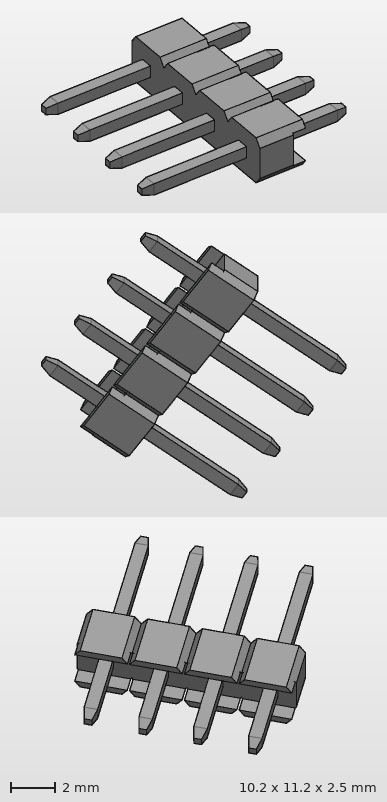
import cadquery as cq


pin_count = 4
housing_width = 10.16
housing_height = 2.5
housing_depth = 2.54
pitch = housing_width / pin_count
chamfer_width = 0.3
chamfer_height = 0.41

channel_depth = 0.7
ledge_thickness = 0.35

pin_length = 11.2
pin_size = 0.63
pin_front_length = 5.65
pin_offset_x = -0.1
tip_length = 0.57
tip_size = 0.36

housing_front_y = -pin_length / 2 + pin_front_length
housing_rear_y = housing_front_y + housing_depth


def segment_centre(index):
    """X position of the middle of one housing segment."""
    return (index - (pin_count - 1) / 2) * pitch


def make_housing():
    """Extrude the chamfered segments as one outline, with a V notch between neighbours."""
    half_flat = pitch / 2 - chamfer_width
    top_z = housing_height / 2
    notch_z = top_z - chamfer_height

    upper_edge = [(-housing_width / 2, notch_z)]
    for index in range(pin_count):
        centre = segment_centre(index)
        upper_edge.append((centre - half_flat, top_z))
        upper_edge.append((centre + half_flat, top_z))
        upper_edge.append((centre + pitch / 2, notch_z))
    lower_edge = [(x, -z) for x, z in reversed(upper_edge)]

    return (
        cq.Workplane("XZ", origin=(0, housing_rear_y, 0))
        .polyline(upper_edge + lower_edge)
        .close()
        .extrude(housing_depth)
    )


def make_rear_channel():
    """Block that clears the rear of the housing between the two ledges."""
    channel_height = housing_height - 2 * ledge_thickness
    return cq.Workplane("XY").box(housing_width, channel_depth, channel_height).translate(
        (0, housing_rear_y - channel_depth / 2, 0)
    )


def make_tip(end_y, direction):
    """Tapered tip that ends at end_y, narrowing towards the given Y direction."""
    return (
        cq.Workplane("XZ", origin=(0, end_y, 0))
        .rect(tip_size, tip_size)
        .workplane(offset=direction * tip_length)
        .rect(pin_size, pin_size)
        .loft(ruled=True)
    )


def make_pin():
    """Square pin with a tapered tip at each end."""
    shank = cq.Workplane("XY").box(pin_size, pin_length - 2 * tip_length, pin_size)
    front_tip = make_tip(-pin_length / 2, -1)
    rear_tip = make_tip(pin_length / 2, 1)
    return shank.union(front_tip).union(rear_tip)


result = make_housing().cut(make_rear_channel())
pin = make_pin()
for pin_index in range(pin_count):
    pin_x = segment_centre(pin_index) + pin_offset_x
    result = result.union(pin.translate((pin_x, 0, 0)))